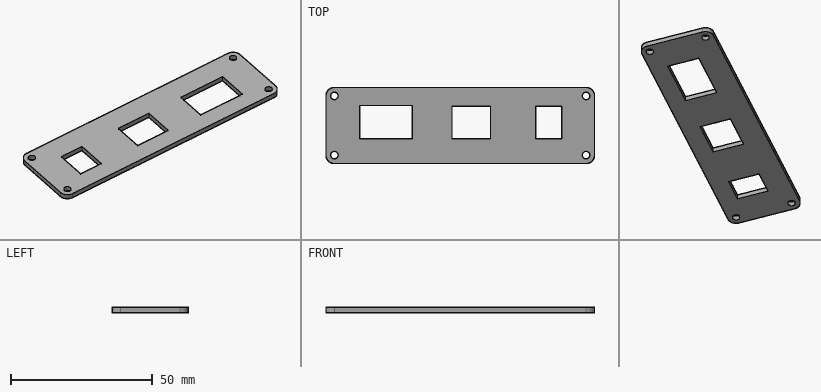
import cadquery as cq

length = 95.0
width = 27.0
thickness = 2.0
corner_radius = 3.0

hole_diameter = 2.6
hole_inset = corner_radius

window_bottom = -4.7
window_height = 11.4
large_window_height = 11.7
windows = [
    (-26.2, 18.4, large_window_height),
    (3.9, 13.5, window_height),
    (31.3, 9.1, window_height),
]


def rounded_plate():
    plate = cq.Workplane("XY").box(length, width, thickness)
    return plate.edges("|Z").fillet(corner_radius)


def cut_screw_holes(plate):
    spacing_x = length - 2 * hole_inset
    spacing_y = width - 2 * hole_inset
    corners = plate.faces(">Z").workplane().rect(spacing_x, spacing_y, forConstruction=True)
    return corners.vertices().hole(hole_diameter)


def cut_window(plate, center_x, window_width, height):
    center_y = window_bottom + height / 2
    cutter = cq.Workplane("XY").center(center_x, center_y).rect(window_width, height)
    return plate.cut(cutter.extrude(thickness, both=True))


result = cut_screw_holes(rounded_plate())
for center_x, window_width, height in windows:
    result = cut_window(result, center_x, window_width, height)